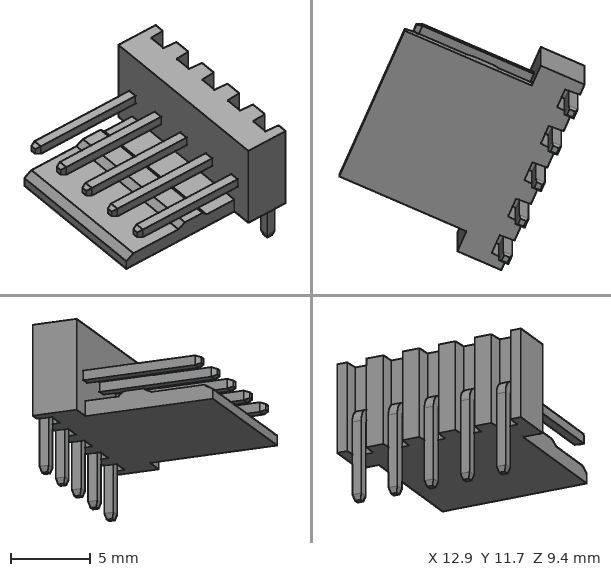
import cadquery as cq
import math


pin_count = 5
row_length = 10.17
pin_side = 0.63
pitch = row_length / (pin_count - 1)
pin_xs = [i * pitch - row_length / 2 for i in range(pin_count)]

housing_width = 12.95
housing_depth = 3.0
housing_height = 6.0

slot_depth = 1.0
slot_mouth_width = 1.36
slot_floor_width = 1.23

plate_length = 8.69
plate_thickness = 1.0
plate_edge_height = 0.65
plate_bevel_length = 0.57
ridge_height = 0.3
ridge_back_start = 2.24
ridge_back_top = 2.56
ridge_front_top = 3.98
ridge_front_end = 4.51

pin_axis_height = 2.59
pin_reach = 10.98
pin_drop = 3.4
front_tip_length = 0.36
lower_tip_length = 0.4
tip_side = 0.39
bend_outer_radius = slot_depth
bend_inner_radius = bend_outer_radius - pin_side


def make_block():
    return cq.Workplane("XY").box(
        housing_width, housing_depth, housing_height, centered=(True, False, False)
    ).translate((0, -housing_depth, 0))


def make_plate():
    """Plate with a cross ridge and a bevelled front edge."""
    front = -housing_depth
    ridge_top = plate_thickness + ridge_height
    profile = [
        (front, 0),
        (front, plate_thickness),
        (front - ridge_back_start, plate_thickness),
        (front - ridge_back_top, ridge_top),
        (front - ridge_front_top, ridge_top),
        (front - ridge_front_end, plate_thickness),
        (front - plate_length + plate_bevel_length, plate_thickness),
        (front - plate_length, plate_edge_height),
        (front - plate_length, 0),
    ]
    return cq.Workplane("YZ").polyline(profile).close().extrude(row_length / 2, both=True)


def make_slot(x):
    """Tapered slot over the full height of the housing."""
    half_mouth = slot_mouth_width / 2
    half_floor = slot_floor_width / 2
    outline = [
        (x - half_mouth, 0),
        (x - half_floor, -slot_depth),
        (x + half_floor, -slot_depth),
        (x + half_mouth, 0),
    ]
    return cq.Workplane("XY").polyline(outline).close().extrude(housing_height)


def make_tip(base_center, direction, length):
    """Tapered square pin end that starts at base_center and points along direction."""
    plane = cq.Plane(origin=base_center, xDir=(1, 0, 0), normal=direction)
    return (
        cq.Workplane(plane)
        .rect(pin_side, pin_side)
        .workplane(offset=length)
        .rect(tip_side, tip_side)
        .loft(ruled=True)
    )


def make_pin(x):
    """Square pin bent by 90 degrees, tapered at both ends."""
    top = pin_axis_height + pin_side / 2
    under = top - pin_side
    front_base = -(pin_reach - front_tip_length)
    lower_base = -(pin_drop - lower_tip_length)
    bend_y = -bend_outer_radius
    bend_z = top - bend_outer_radius
    diagonal = math.sqrt(0.5)
    outer_mid = (bend_y + bend_outer_radius * diagonal, bend_z + bend_outer_radius * diagonal)
    inner_mid = (bend_y + bend_inner_radius * diagonal, bend_z + bend_inner_radius * diagonal)
    shaft = (
        cq.Workplane("YZ", origin=(x, 0, 0))
        .moveTo(front_base, top)
        .lineTo(bend_y, top)
        .threePointArc(outer_mid, (0, bend_z))
        .lineTo(0, lower_base)
        .lineTo(-pin_side, lower_base)
        .lineTo(-pin_side, bend_z)
        .threePointArc(inner_mid, (bend_y, under))
        .lineTo(front_base, under)
        .close()
        .extrude(pin_side / 2, both=True)
    )
    front_tip = make_tip((x, front_base, pin_axis_height), (0, -1, 0), front_tip_length)
    lower_tip = make_tip((x, -pin_side / 2, lower_base), (0, 0, -1), lower_tip_length)
    return shaft.union(front_tip).union(lower_tip)


pins = [make_pin(x) for x in pin_xs]

housing = make_block().union(make_plate())
for x in pin_xs:
    housing = housing.cut(make_slot(x))

for pin in pins:
    housing = housing.cut(pin)

result = cq.Compound.makeCompound([housing.val(), *[pin.val() for pin in pins]])